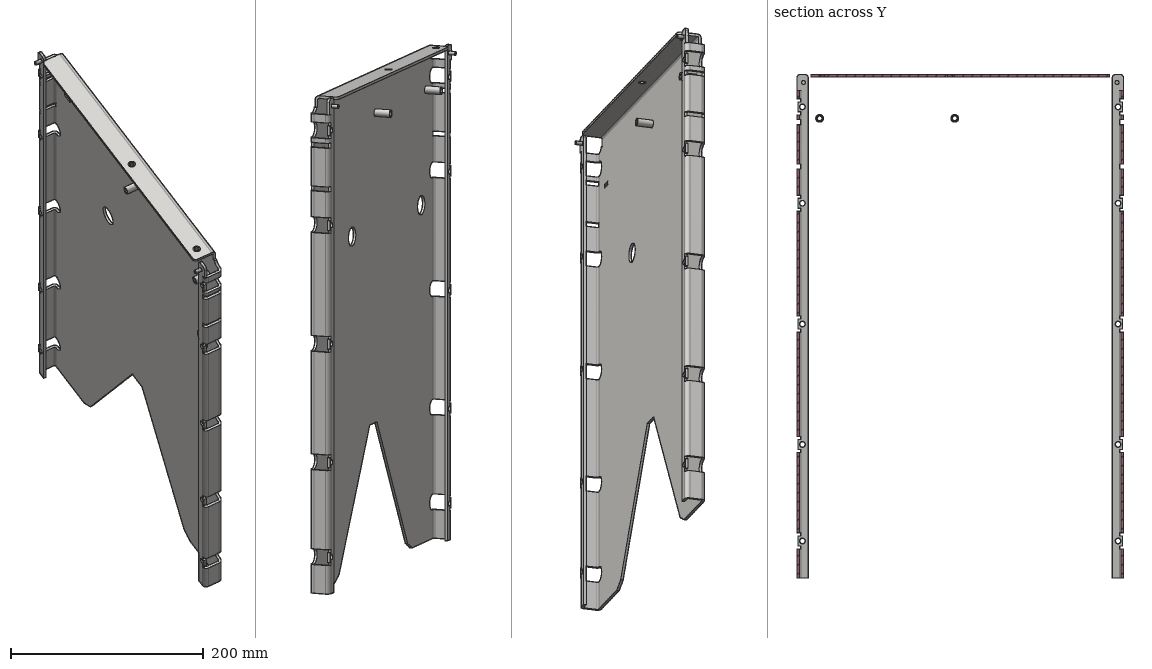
import cadquery as cq
panel_width = 339.0
panel_height = 522.1
overall_depth = 29.5
sheet = 2.85
bend_radius = 4.5
channel_depth = 22.0
lip_width = 12.0

half_width = panel_width / 2
inner_bend_radius = bend_radius - sheet
lip_edge_x = half_width - lip_width
lip_back_y = -(channel_depth - sheet)
both_sides = (-1, 1)
cut_margin = 1.0

lip_hole_x = 163.6
pin_x = 162.5
lip_hole_heights = [38.5, 138.5, 263.3, 388.5, 488.4]
lip_hole_diameter = 5.5
pin_height = 513.7

window_width = 16.5
window_radius = window_width / 2
window_center_x = 164.6
lip_relief_x = half_width - 4.0
tab_length = 10.5
tab_edge_x = 168.3
ear_edge_x = 169.3
ear_corner_radius = 3.5

vent_heights = [426.7, 472.6]
vent_width = 5.0

flange_half_length = 154.8
flange_depth = 25.4
flange_corner_radius = 4.0
flange_relief_depth = 12.0
insert_positions = [10.4, 142.5]
insert_y = -15.4
insert_diameter = 7.5
insert_bore = 5.0

round_holes = [(-59.0, 357.0), (132.8, 357.0)]
round_hole_diameter = 20.0
slot_center = (-142.0, 463.0)
slot_size = (11.0, 3.4)
gap_top_half_width = 10.0
gap_top_z = 149.7
gap_knee = (95.2, 6.8)
gap_bottom_half_width = 107.5

standoff_positions = [5.7, 145.8]
standoff_z = 476.5
standoff_diameter = 8.0
standoff_bore = 4.81
standoff_length = 17.0
pin_diameter = 4.0
pin_chamfer = 0.5


def block(x_range, y_range, z_range):
    """Box between two limits on each axis, given in any order."""
    limits = [sorted(pair) for pair in (x_range, y_range, z_range)]
    sizes = [high - low for low, high in limits]
    start = tuple(low for low, high in limits)
    return cq.Workplane("XY").box(*sizes, centered=False).translate(start)


def rod_along_y(x, z, diameter, y_start, y_end):
    """Cylinder running from y_start toward -Y as far as y_end."""
    plane = cq.Workplane("XZ", origin=(x, y_start, z))
    return plane.circle(diameter / 2).extrude(y_start - y_end)


def rod_along_z(x, y, diameter, z_start, z_end):
    return cq.Workplane("XY", origin=(x, y, z_start)).circle(diameter / 2).extrude(z_end - z_start)


def folded_channels():
    """Back panel with both sides folded forward and their lips folded inward."""
    outside = block((-half_width, half_width), (0, -channel_depth), (0, panel_height))
    outside = outside.edges("|Z").fillet(bend_radius)
    inner_half = half_width - sheet
    inside = block((-inner_half, inner_half), (-sheet, lip_back_y), (0, panel_height))
    inside = inside.edges("|Z").fillet(inner_bend_radius)
    opening = block((-lip_edge_x, lip_edge_x), (lip_back_y / 2, -channel_depth), (0, panel_height))
    return outside.cut(inside).cut(opening)


def top_flange():
    """Flange folded forward along the top edge, with its bend and a strip of panel below."""
    length = (-flange_half_length, flange_half_length)
    strip_bottom = panel_height - 2 * bend_radius
    outside = block(length, (0, -flange_depth), (strip_bottom, panel_height))
    outside = outside.edges("|X and >Y and >Z").fillet(bend_radius)
    inside = block(length, (-sheet, -flange_depth), (strip_bottom, panel_height - sheet))
    inside = inside.edges("|X and >Y and >Z").fillet(inner_bend_radius)
    return outside.cut(inside).edges("|Z and <Y").fillet(flange_corner_radius)


def window_cutter(side, z):
    """Round-ended window through the panel edge and the side wall, open outward."""
    straight = block(
        (side * window_center_x, side * (half_width + cut_margin)),
        (0, lip_back_y),
        (z - window_radius, z + window_radius),
    )
    return straight.union(rod_along_y(side * window_center_x, z, window_width, 0, lip_back_y))


def corner_relief(side, z, width, y_back):
    """Clears the outermost strip of a channel, from y_back to the front face."""
    return block(
        (side * lip_relief_x, side * (half_width + cut_margin)),
        (y_back, -channel_depth),
        (z - width / 2, z + width / 2),
    )


def lip_tab(side, z):
    return block(
        (side * lip_relief_x, side * tab_edge_x),
        (lip_back_y, -channel_depth),
        (z - tab_length / 2, z + tab_length / 2),
    )


def ear(side):
    """Flat end of a lip that carries a locating pin above the side wall."""
    bottom = pin_height - window_radius
    tab = block((side * lip_edge_x, side * ear_edge_x), (lip_back_y, -channel_depth), (bottom, panel_height))
    return tab.edges("|Y and >Z").fillet(ear_corner_radius)


def channel_end_relief(side):
    """Clears the channel above its top window, and the panel and lip beside the flange end."""
    outer_x = side * (half_width + cut_margin)
    full_depth = (0, -channel_depth)
    beside_flange = block(
        (side * flange_half_length, outer_x), full_depth, (panel_height - flange_relief_depth, panel_height)
    )
    above_wall = block((side * lip_relief_x, outer_x), full_depth, (pin_height - window_radius, panel_height))
    return beside_flange.union(above_wall)


def side_features(panel, side):
    """Windows, tabs, lip holes, vents and the pin ear of one side channel."""
    for z in lip_hole_heights:
        panel = panel.cut(window_cutter(side, z))
        panel = panel.cut(corner_relief(side, z, window_width, lip_back_y))
        panel = panel.union(lip_tab(side, z))
        panel = panel.cut(rod_along_y(side * lip_hole_x, z, lip_hole_diameter, lip_back_y, -channel_depth))
    for z in vent_heights:
        panel = panel.cut(corner_relief(side, z, vent_width, 0))
    panel = panel.cut(window_cutter(side, pin_height))
    panel = panel.cut(channel_end_relief(side))
    panel = panel.union(ear(side))
    return panel.cut(rod_along_y(side * pin_x, pin_height, pin_diameter, lip_back_y, -channel_depth))


def panel_gap():
    """Tapered gap in the lower edge."""
    knee_x, knee_z = gap_knee
    right_side = [(gap_bottom_half_width, 0), (knee_x, knee_z), (gap_top_half_width, gap_top_z)]
    mirrored = [(-x, z) for x, z in reversed(right_side)]
    return cq.Workplane("XZ").polyline(right_side + mirrored).close().extrude(sheet)


def make_panel():
    panel = folded_channels()
    bend_start = panel_height - bend_radius
    panel = panel.cut(
        block((-flange_half_length, flange_half_length), (0, -sheet), (bend_start, panel_height))
    )
    panel = panel.union(top_flange())
    for side in both_sides:
        panel = side_features(panel, side)
    panel = panel.cut(panel_gap())
    for x, z in round_holes:
        panel = panel.cut(rod_along_y(x, z, round_hole_diameter, 0, -sheet))
    slot = cq.Workplane("XZ").center(*slot_center).rect(*slot_size).extrude(sheet)
    panel = panel.cut(slot)
    for x in insert_positions:
        panel = panel.cut(rod_along_z(x, insert_y, insert_diameter, panel_height - sheet, panel_height))
    return panel


def make_insert(x):
    """Threaded insert set flush in the top flange."""
    bottom = panel_height - sheet
    body = rod_along_z(x, insert_y, insert_diameter, bottom, panel_height)
    return body.cut(rod_along_z(x, insert_y, insert_bore, bottom, panel_height))


def make_standoff(x):
    """Tubular standoff seated on the front of the panel."""
    tip = -sheet - standoff_length
    body = rod_along_y(x, standoff_z, standoff_diameter, -sheet, tip)
    return body.cut(rod_along_y(x, standoff_z, standoff_bore, -sheet, tip))


def make_pin(side):
    """Locating pin pressed through a lip ear."""
    pin = rod_along_y(side * pin_x, pin_height, pin_diameter, lip_back_y, -overall_depth)
    return pin.faces("<Y").chamfer(pin_chamfer)


panel = make_panel()
inserts = [make_insert(x) for x in insert_positions]
standoffs = [make_standoff(x) for x in standoff_positions]
pins = [make_pin(side) for side in both_sides]

loose_parts = inserts + standoffs + pins
result = cq.Compound.makeCompound([panel.val()] + [part.val() for part in loose_parts])